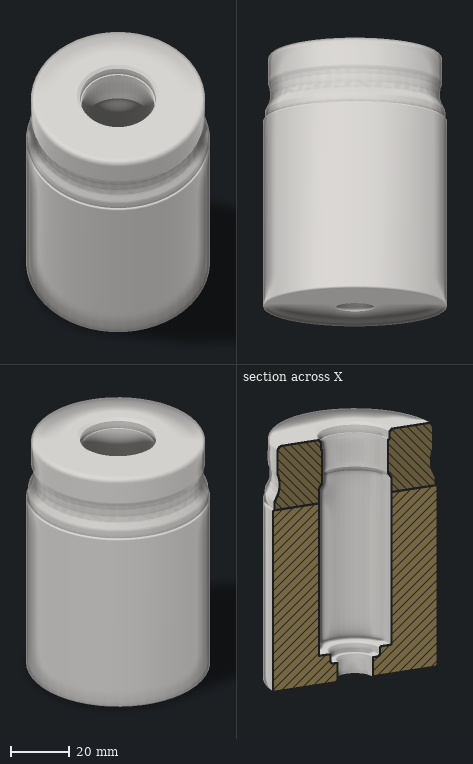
import cadquery as cq

total_height = 88.9
housing_radius = 31.7
housing_height = 66.0

rim_fillet = 0.6
base_fillet = 0.7
floor_thickness = 10.7
through_hole_radius = 6.7
recess_radius = 9.4
recess_depth = 3.6
recess_fillet = 0.8

foot_radius = 31.1
neck_radius = 29.3
head_radius = 30.05
foot_top = 68.9
neck_bottom = 72.45
neck_top = 77.0
head_bottom = 78.9
crown_fillet = 2.05
neck_fillet = 4.45
shoulder_fillet = 1.5

bore_radius = 12.6
mouth_radius = 13.2
mouth_chamfer = 1.0
mouth_depth = 3.7
bore_depth = 16.0
bore_flare_height = 1.8
cavity_radius = 14.0


def ring_at(height):
    """Select the circular edges lying at the given height."""
    tolerance = 0.045
    reach = 2 * housing_radius
    return cq.selectors.BoxSelector(
        (-reach, -reach, height - tolerance),
        (reach, reach, height + tolerance),
    )


def make_housing():
    """Cylindrical cup with a rounded recess and a through hole in its floor."""
    body = cq.Workplane("XY").circle(housing_radius).extrude(housing_height)
    body = body.faces(">Z").edges().fillet(rim_fillet)
    body = body.faces("<Z").edges().fillet(base_fillet)

    cavity = (
        cq.Workplane("XY", origin=(0, 0, floor_thickness))
        .circle(cavity_radius)
        .extrude(housing_height - floor_thickness)
    )
    recess_floor = floor_thickness - recess_depth
    recess = (
        cq.Workplane("XY", origin=(0, 0, recess_floor))
        .circle(recess_radius)
        .extrude(recess_depth)
    )
    hole = cq.Workplane("XY").circle(through_hole_radius).extrude(housing_height)

    body = body.cut(cavity).cut(recess)
    recess_rim = cq.selectors.RadiusNthSelector(0)
    body = body.edges(ring_at(floor_thickness)).edges(recess_rim).fillet(recess_fillet)
    body = body.edges(ring_at(recess_floor)).fillet(recess_fillet)
    return body.cut(hole)


def make_cap_blank():
    """Solid cap: foot, waisted neck and head, with rounded transitions."""
    outline = [
        (0, housing_height),
        (foot_radius, housing_height),
        (foot_radius, foot_top),
        (neck_radius, neck_bottom),
        (neck_radius, neck_top),
        (head_radius, head_bottom),
        (head_radius, total_height),
        (0, total_height),
    ]
    blank = cq.Workplane("XZ").polyline(outline).close().revolve(360, (0, 0), (0, 1))
    blank = blank.edges(ring_at(total_height)).fillet(crown_fillet)
    for height in (neck_bottom, neck_top):
        blank = blank.edges(ring_at(height)).fillet(neck_fillet)
    for height in (foot_top, head_bottom):
        blank = blank.edges(ring_at(height)).fillet(shoulder_fillet)
    return blank


def make_cap_bore():
    """Stepped bore: chamfered mouth, narrow bore, then a flare to the cavity."""
    bore_bottom = total_height - bore_depth
    step_height = total_height - mouth_depth
    outline = [
        (0, housing_height),
        (cavity_radius, housing_height),
        (cavity_radius, bore_bottom - bore_flare_height),
        (bore_radius, bore_bottom),
        (bore_radius, step_height),
        (mouth_radius, step_height),
        (mouth_radius, total_height - mouth_chamfer),
        (mouth_radius + mouth_chamfer, total_height),
        (0, total_height),
    ]
    return cq.Workplane("XZ").polyline(outline).close().revolve(360, (0, 0), (0, 1))


housing = make_housing()
cap = make_cap_blank().cut(make_cap_bore())

result = cq.Compound.makeCompound([housing.val(), cap.val()])